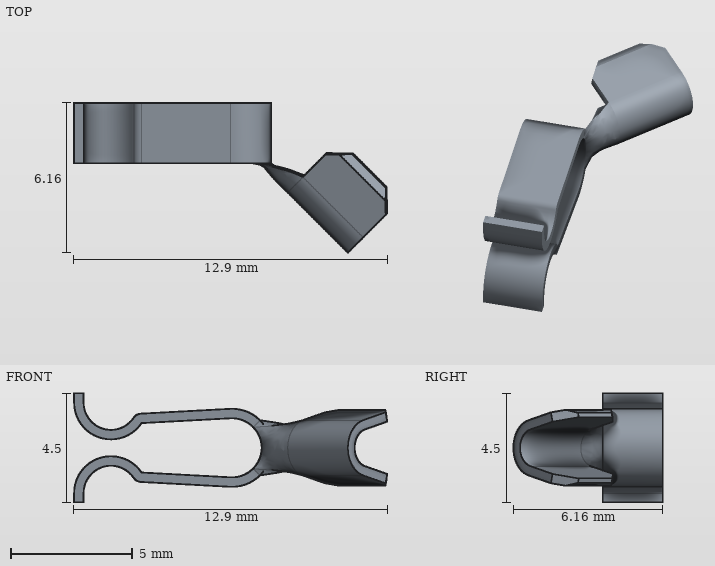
import cadquery as cq
import math

overall_length = 12.89
overall_width = 6.16
overall_height = 4.5
thickness = 0.4
spring_width = 2.49

contact_radius = 1.52
contact_gap = 0.68
nose_radius = 1.61
nose_x = 6.51
arm_angle = math.radians(3.1)

barrel_heading = math.radians(-45)
barrel_length = 3.52
barrel_radius = 1.17
flare_angle = math.radians(14)
wall_length = 2.11
corner_chamfer = 0.77
bevel_length = 0.35
bevel_depth = 0.22

neck_angle = math.radians(45)
waist_setback = 0.77
waist_rise = 0.54
waist_edge_tilt = 0.08
waist_half_height = 0.97


def polar(center, radius, angle):
    """Point at an angle from the first axis around a centre."""
    return (center[0] + radius * math.cos(angle), center[1] + radius * math.sin(angle))


def heading_plane(x, y, heading):
    """Plane whose normal lies at a heading in XY, with Z as its second axis."""
    normal = (math.cos(heading), math.sin(heading), 0)
    across = (-math.sin(heading), math.cos(heading), 0)
    return cq.Plane(origin=(x, y, 0), xDir=across, normal=normal)


def flip(point):
    """Mirror image across the symmetry plane."""
    return (point[0], -point[1])


def spring():
    """Hairpin strip, drawn as one closed outline."""
    curl = (contact_radius, contact_gap / 2 + contact_radius)
    nose = (nose_x, 0)
    curl_inner = contact_radius - thickness
    nose_inner = nose_radius - thickness
    arm_normal = math.pi / 2 + arm_angle

    curl_above_line = (
        math.cos(arm_normal) * (curl[0] - nose[0]) + math.sin(arm_normal) * curl[1] - nose_inner
    )
    bend_angle = arm_normal - math.pi + math.acos(curl_above_line / contact_radius)
    bend = polar(curl, contact_radius, bend_angle)
    curl_mid = (bend_angle - math.pi) / 2

    bend_back = bend_angle + math.pi
    bend_mid = (arm_normal + bend_back) / 2

    upper_arm = [
        (polar(nose, nose_inner, arm_normal), None),
        (bend, None),
        ((0, curl[1]), polar(curl, contact_radius, curl_mid)),
        ((0, overall_height / 2), None),
        ((thickness, overall_height / 2), None),
        ((thickness, curl[1]), None),
        (polar(bend, thickness, bend_back), polar(curl, curl_inner, curl_mid)),
        (polar(bend, thickness, arm_normal), polar(bend, thickness, bend_mid)),
        (polar(nose, nose_radius, arm_normal), None),
    ]
    inner_start = upper_arm[0][0]
    outer_end = upper_arm[-1][0]

    outline = cq.Workplane("XZ").moveTo(*inner_start)
    for end, middle in upper_arm[1:]:
        outline = outline.threePointArc(middle, end) if middle else outline.lineTo(*end)
    outline = outline.threePointArc((nose_x + nose_radius, 0), flip(outer_end))
    for index in range(len(upper_arm) - 1, 0, -1):
        middle = upper_arm[index][1]
        end = flip(upper_arm[index - 1][0])
        outline = outline.threePointArc(flip(middle), end) if middle else outline.lineTo(*end)
    outline = outline.threePointArc((nose_x + nose_inner, 0), inner_start)
    return outline.close().extrude(-spring_width)


barrel_center = (barrel_radius, 0)
wall_foot_angle = math.pi / 2 + flare_angle


def on_wall(along, depth):
    """Section point on the upper wall: distance along it, depth below its outer face."""
    foot = polar(barrel_center, barrel_radius - depth, wall_foot_angle)
    return polar(foot, along, flare_angle)


far_end_rise = on_wall(wall_length - corner_chamfer, thickness)[0]
barrel_far_x = overall_length + far_end_rise * math.sin(barrel_heading)
barrel_far_y = spring_width - overall_width


def barrel_plane_at(run):
    """Barrel section plane at a distance along the barrel from its near end."""
    back = barrel_length - run
    return heading_plane(
        barrel_far_x - back * math.cos(barrel_heading),
        barrel_far_y - back * math.sin(barrel_heading),
        barrel_heading,
    )


def barrel_blank():
    """Flared U channel with bevelled wall tips."""
    outer = [
        on_wall(0, 0),
        on_wall(wall_length - bevel_length, 0),
        on_wall(wall_length, bevel_depth),
        on_wall(wall_length, thickness),
        on_wall(0, thickness),
    ]
    profile = cq.Workplane(barrel_plane_at(0)).moveTo(*outer[0])
    for point in outer[1:]:
        profile = profile.lineTo(*point)
    profile = profile.threePointArc((thickness, 0), flip(outer[-1]))
    for point in reversed(outer[:-1]):
        profile = profile.lineTo(*flip(point))
    return profile.threePointArc((0, 0), outer[0]).close().extrude(barrel_length)


def corner_cutter(run, inward):
    """Triangular prism square to the upper wall that trims one tip corner."""
    tip = on_wall(wall_length, 0)
    section = barrel_plane_at(run)
    wall_plane = cq.Plane(
        origin=section.toWorldCoords(tip),
        xDir=section.zDir * inward,
        normal=section.yDir * math.cos(flare_angle) - section.xDir * math.sin(flare_angle),
    )
    return (
        cq.Workplane(wall_plane)
        .polyline([(0, 0), (corner_chamfer, 0), (0, -inward * corner_chamfer)])
        .close()
        .extrude(2 * thickness, both=True)
    )


def barrel():
    body = barrel_blank()
    for run, inward in ((0, 1), (barrel_length, -1)):
        cutter = corner_cutter(run, inward)
        body = body.cut(cutter).cut(cutter.mirror("XY"))
    return body


def band(plane, face, back, face_end, back_end):
    """Curved strip section: two arcs through (face, 0) and (back, 0), joined by straight ends."""
    return (
        cq.Workplane(plane)
        .moveTo(*flip(face_end))
        .threePointArc((face, 0), face_end)
        .lineTo(*back_end)
        .threePointArc((back, 0), flip(back_end))
        .close()
        .val()
    )


def neck():
    """Strip whose curvature turns over between the nose and the barrel floor."""
    nose_inner = nose_radius - thickness
    root = band(
        heading_plane(nose_x, 0, math.radians(-90)),
        nose_inner,
        nose_radius,
        polar((0, 0), nose_inner, neck_angle),
        polar((0, 0), nose_radius, neck_angle),
    )
    waist = band(
        barrel_plane_at(-waist_setback),
        0,
        thickness,
        (waist_rise, waist_half_height),
        (waist_rise + waist_edge_tilt, waist_half_height),
    )
    mouth = band(barrel_plane_at(0), 0, thickness, on_wall(0, 0), on_wall(0, thickness))
    return cq.Workplane(cq.Solid.makeLoft([root, waist, mouth]))


result = spring().union(neck()).union(barrel())